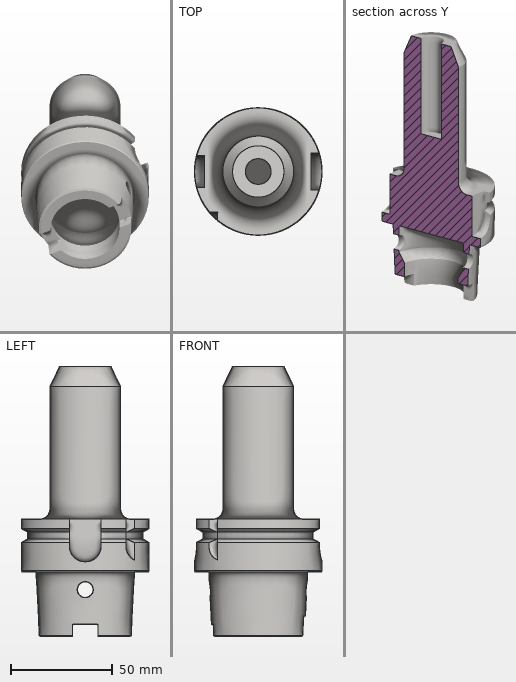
import cadquery as cq
import math

total_height = 133.6
taper_length = 32.0
flange_width = 26.0
flange_top = taper_length + flange_width

taper_large_radius = 24.5
taper_small_radius = 22.8
taper_edge_height = 0.5
taper_edge_inset = 1.1

flange_radius = 31.5
flange_edge_height = 0.7
flange_edge_inset = 0.3
groove_center = taper_length + 17.9
groove_floor_radius = 28.5
groove_floor_width = 3.3
groove_mouth_width = 7.0

nose_radius = 17.5
nose_root_fillet = 5.0
tip_radius = 12.7
tip_height = 10.0
bore_diameter = 12.7
bore_depth = 50.0

mouth_radius = 17.0
mouth_depth = 13.4
chamber_radius = 20.3
shoulder_end = 18.2
chamber_end = taper_length

keyway_end_height = taper_length + 5.0
left_keyway_floor = 26.5
left_keyway_width = 15.8
right_keyway_floor = 26.2
right_keyway_width = 18.2

notch_wall = 20.0

cross_hole_diameter = 7.7
cross_hole_height = 23.2
end_slot_width = 12.4
end_slot_corner = 0.5
left_end_slot_height = 6.1
right_end_slot_height = 10.2


def revolved_body():
    """Shank, flange and nose as one profile turned about Z."""
    groove_floor_half = groove_floor_width / 2
    groove_mouth_half = groove_mouth_width / 2
    fillet_mid = nose_root_fillet * (1 - math.sqrt(0.5))
    return (
        cq.Workplane("XZ")
        .lineTo(taper_small_radius - taper_edge_inset, 0)
        .lineTo(taper_small_radius, taper_edge_height)
        .lineTo(taper_large_radius, taper_length)
        .lineTo(flange_radius - flange_edge_inset, taper_length)
        .lineTo(flange_radius, taper_length + flange_edge_height)
        .lineTo(flange_radius, groove_center - groove_mouth_half)
        .lineTo(groove_floor_radius, groove_center - groove_floor_half)
        .lineTo(groove_floor_radius, groove_center + groove_floor_half)
        .lineTo(flange_radius, groove_center + groove_mouth_half)
        .lineTo(flange_radius, flange_top)
        .lineTo(nose_radius + nose_root_fillet, flange_top)
        .threePointArc(
            (nose_radius + fillet_mid, flange_top + fillet_mid),
            (nose_radius, flange_top + nose_root_fillet),
        )
        .lineTo(nose_radius, total_height - tip_height)
        .lineTo(tip_radius, total_height)
        .lineTo(0, total_height)
        .close()
        .revolve(360, (0, 0), (0, 1))
    )


def clamping_cavity():
    """Hollow of the shank, turned about Z and open at the small end."""
    return (
        cq.Workplane("XZ")
        .lineTo(mouth_radius, 0)
        .lineTo(mouth_radius, mouth_depth)
        .lineTo(chamber_radius, shoulder_end)
        .lineTo(chamber_radius, chamber_end)
        .lineTo(0, chamber_end)
        .close()
        .revolve(360, (0, 0), (0, 1))
    )


def round_end_cutter(width, start_x, length, center_y=0):
    """Slot along X, open at the flange top and closed by a half round below."""
    radius = width / 2
    round_center = keyway_end_height + radius
    return (
        cq.Workplane("YZ", origin=(start_x, center_y, 0))
        .moveTo(-radius, flange_top)
        .lineTo(-radius, round_center)
        .threePointArc((0, keyway_end_height), (radius, round_center))
        .lineTo(radius, flange_top)
        .close()
        .extrude(length)
    )


def keyway(width, floor, side):
    """Drive keyway from its floor out past the rim; side is the sign of X."""
    return round_end_cutter(width, side * floor, side * flange_radius)


def orientation_notch():
    """Corner notch at -X, -Y, cut with the radius of the left keyway."""
    center_y = -notch_wall - left_keyway_width / 2
    return round_end_cutter(left_keyway_width, -notch_wall, -flange_radius, center_y)


def end_slot(height, side):
    """Slot in the small end, from the axis out past one side."""
    return (
        cq.Workplane("XY")
        .box(flange_radius, end_slot_width, height, centered=(False, True, False))
        .edges("|X and >Z")
        .fillet(end_slot_corner)
        .rotate((0, 0, 0), (0, 0, 1), 0 if side > 0 else 180)
    )


tool_bore = (
    cq.Workplane("XY", origin=(0, 0, total_height))
    .circle(bore_diameter / 2)
    .extrude(-bore_depth)
)
cross_hole = (
    cq.Workplane("YZ", origin=(0, 0, cross_hole_height))
    .circle(cross_hole_diameter / 2)
    .extrude(flange_radius, both=True)
)

result = (
    revolved_body()
    .cut(tool_bore)
    .cut(keyway(left_keyway_width, left_keyway_floor, -1))
    .cut(keyway(right_keyway_width, right_keyway_floor, 1))
    .cut(orientation_notch())
    .cut(clamping_cavity())
    .cut(cross_hole)
    .cut(end_slot(left_end_slot_height, -1))
    .cut(end_slot(right_end_slot_height, 1))
)